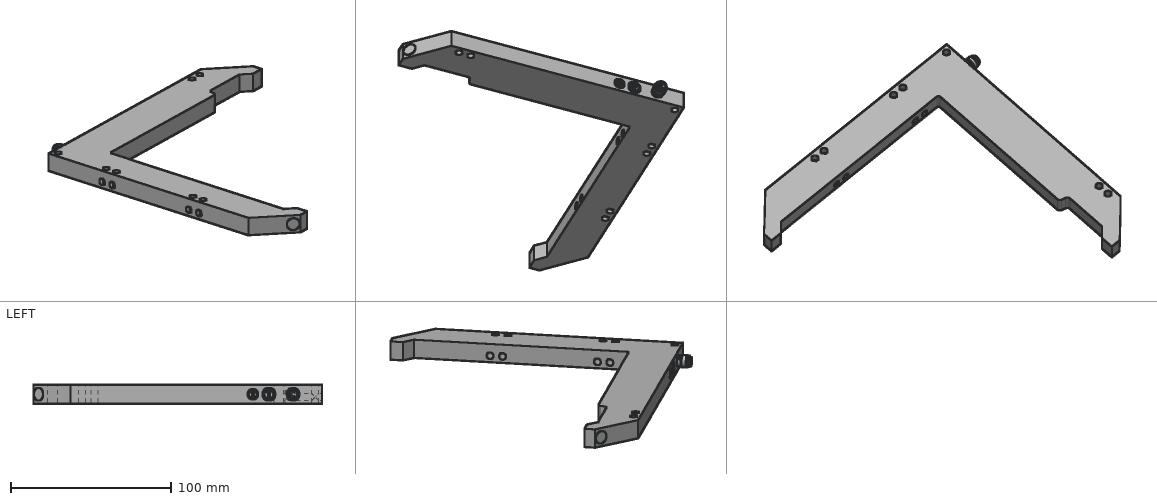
import cadquery as cq
import math

LEG_LENGTH = 180.0
THICKNESS = 12.0
MID_HEIGHT = THICKNESS / 2
LEG_WIDTH = 30.0
RELIEF = 6.0
NARROW_WIDTH = LEG_WIDTH - RELIEF
TIP_FACE = 6.8
BEVEL = LEG_WIDTH - TIP_FACE
X_TIP_LENGTH = 8.0
Y_TIP_LENGTH = 8.9
RELIEF_START = 134.2
RELIEF_SLOPE = 1.5
STEP_RADIUS = 2.3
INNER_CORNER_RADIUS = 1.5

HOLE_DIAMETER = 4.3
HOLE_EDGE = 4.3
PAIR_PITCH = 8.0
X_PAIR_STARTS = (42.0, 110.0)
Y_PAIR_START = 142.0

LENS_DIAMETER = 8.1
LENS_HEIGHT = 0.2
LENS_FROM_END = 3.2
LENS_EMBED = 1.0

CONNECTOR_Y = 18.1
CONNECTOR_LENGTH = 8.5
NECK_DIAMETER = 7.2
NECK_END = 2.3
COLLAR_DIAMETER = 8.0
COLLAR_END = 6.5
COLLAR_TAPER = 0.8
SHOULDER_END = 7.4
NOSE_DIAMETER = 5.8
SOCKET_DIAMETER = 5.0
SOCKET_DEPTH = 6.6
PIN_DIAMETER = 1.0
PIN_LENGTH = 4.9
PIN_CIRCLE_RADIUS = 1.5
PIN_ANGLES = (0, 90, 270)
NECK_HOLE_DIAMETER = 1.5
NECK_HOLE_DEPTH = 0.5
NECK_HOLE_COUNT = 3
NECK_HOLE_START = 48
NECK_HOLE_OFFSET = 1.1

SMALL_DIAL_Y = 43.2
SMALL_DIAL_DIAMETERS = (6.6, 5.8, 5.0)
LARGE_DIAL_Y = 33.2
LARGE_DIAL_DIAMETERS = (8.1, 6.8, 5.7)
DIAL_STEP_DEPTH = 0.5
DIAL_BORE_DEPTH = 1.5
ARROW_DEPTH = 0.8
ARROW_SHAFT_HALF = 0.66
ARROW_HEAD_HALF = 1.1
ARROW_TAIL = -2.0
ARROW_NECK = 1.0
ARROW_POINT = 2.0


def make_body():
    relief_end = LEG_LENGTH - Y_TIP_LENGTH - RELIEF
    tip_start = LEG_LENGTH - X_TIP_LENGTH
    points = [
        (0, 0),
        (LEG_LENGTH - BEVEL, 0),
        (LEG_LENGTH, BEVEL),
        (LEG_LENGTH, LEG_WIDTH),
        (tip_start, LEG_WIDTH),
        (tip_start - RELIEF, NARROW_WIDTH),
        (LEG_WIDTH, NARROW_WIDTH),
        (LEG_WIDTH, RELIEF_START - RELIEF_SLOPE),
        (NARROW_WIDTH, RELIEF_START),
        (NARROW_WIDTH, relief_end),
        (LEG_WIDTH, relief_end + RELIEF),
        (LEG_WIDTH, LEG_LENGTH),
        (BEVEL, LEG_LENGTH),
        (0, LEG_LENGTH - BEVEL),
    ]
    body = cq.Workplane("XY").polyline(points).close().extrude(THICKNESS)
    step_corners = [points[7], points[8]]
    body = round_corners(body, step_corners, STEP_RADIUS)
    return round_corners(body, [points[6]], INNER_CORNER_RADIUS)


def round_corners(body, corners, radius):
    for x, y in corners:
        body = body.edges(cq.selectors.NearestToPointSelector((x, y, MID_HEIGHT))).fillet(radius)
    return body


def make_mounting_holes():
    x_leg = [start + step for start in X_PAIR_STARTS for step in (0, PAIR_PITCH)]
    down = [(HOLE_EDGE, HOLE_EDGE)]
    down += [(x, HOLE_EDGE) for x in x_leg]
    down += [(HOLE_EDGE, Y_PAIR_START + step) for step in (0, PAIR_PITCH)]
    radius = HOLE_DIAMETER / 2
    vertical = cq.Workplane("XY").pushPoints(down).circle(radius).extrude(THICKNESS)
    across = (
        cq.Workplane("XZ")
        .pushPoints([(x, HOLE_EDGE) for x in x_leg])
        .circle(radius)
        .extrude(-NARROW_WIDTH)
    )
    return vertical.union(across)


def make_lens(x, y, normal):
    plane = cq.Plane(origin=(x, y, MID_HEIGHT), xDir=(0, 0, 1), normal=normal)
    disc = cq.Workplane(plane).workplane(offset=-LENS_EMBED).circle(LENS_DIAMETER / 2)
    return disc.extrude(LENS_EMBED + LENS_HEIGHT)


def make_lenses():
    along = LEG_LENGTH - LENS_FROM_END
    side = BEVEL - LENS_FROM_END
    return make_lens(along, side, (1, -1, 0)).union(make_lens(side, along, (-1, 1, 0)))


def side_plane(y, distance=0):
    """Plane parallel to the -X face: local x is +Z, local y is +Y, normal points out."""
    return cq.Workplane(cq.Plane(origin=(-distance, y, MID_HEIGHT), xDir=(0, 0, 1), normal=(-1, 0, 0)))


def side_cylinder(y, diameter, start, end):
    return side_plane(y, start).circle(diameter / 2).extrude(end - start)


def make_connector():
    neck = NECK_DIAMETER / 2
    collar = COLLAR_DIAMETER / 2
    nose = NOSE_DIAMETER / 2
    half_section = [
        (0, 0),
        (0, neck),
        (NECK_END, neck),
        (NECK_END + COLLAR_TAPER, collar),
        (COLLAR_END - COLLAR_TAPER, collar),
        (COLLAR_END, neck),
        (SHOULDER_END, neck),
        (SHOULDER_END, nose),
        (CONNECTOR_LENGTH, nose),
        (CONNECTOR_LENGTH, 0),
    ]
    axis_plane = cq.Plane(origin=(0, CONNECTOR_Y, MID_HEIGHT), xDir=(-1, 0, 0), normal=(0, 0, 1))
    connector = cq.Workplane(axis_plane).polyline(half_section).close().revolve(360, (0, 0), (1, 0))
    socket_floor = CONNECTOR_LENGTH - SOCKET_DEPTH
    connector = connector.cut(side_cylinder(CONNECTOR_Y, SOCKET_DIAMETER, socket_floor, CONNECTOR_LENGTH))
    for angle in map(math.radians, PIN_ANGLES):
        pin = side_cylinder(CONNECTOR_Y, PIN_DIAMETER, socket_floor, socket_floor + PIN_LENGTH)
        shift = (0, PIN_CIRCLE_RADIUS * math.cos(angle), PIN_CIRCLE_RADIUS * math.sin(angle))
        connector = connector.union(pin.translate(shift))
    for index in range(NECK_HOLE_COUNT):
        connector = connector.cut(make_neck_hole(NECK_HOLE_START + index * 360 / NECK_HOLE_COUNT))
    return connector


def make_neck_hole(degrees):
    angle = math.radians(degrees)
    outward = cq.Vector(0, math.cos(angle), math.sin(angle))
    axis_point = cq.Vector(-NECK_HOLE_OFFSET, CONNECTOR_Y, MID_HEIGHT)
    floor = axis_point + outward * (NECK_DIAMETER / 2 - NECK_HOLE_DEPTH)
    plane = cq.Plane(origin=floor, xDir=(1, 0, 0), normal=outward)
    return cq.Workplane(plane).circle(NECK_HOLE_DIAMETER / 2).extrude(2 * NECK_HOLE_DEPTH)


def make_dial_recess(y, diameters):
    """Stepped bore around a flush knob, plus an arrow-shaped slot in the knob pointing up."""
    step_diameter, bore_diameter, knob_diameter = diameters
    groove = (
        side_cylinder(y, step_diameter, -DIAL_STEP_DEPTH, 0)
        .union(side_cylinder(y, bore_diameter, -DIAL_BORE_DEPTH, 0))
        .cut(side_cylinder(y, knob_diameter, -DIAL_BORE_DEPTH, 0))
    )
    arrow = [
        (ARROW_TAIL, -ARROW_SHAFT_HALF),
        (ARROW_NECK, -ARROW_SHAFT_HALF),
        (ARROW_NECK, -ARROW_HEAD_HALF),
        (ARROW_POINT, 0),
        (ARROW_NECK, ARROW_HEAD_HALF),
        (ARROW_NECK, ARROW_SHAFT_HALF),
        (ARROW_TAIL, ARROW_SHAFT_HALF),
    ]
    return groove.union(side_plane(y).polyline(arrow).close().extrude(-ARROW_DEPTH))


result = (
    make_body()
    .cut(make_mounting_holes())
    .union(make_lenses())
    .union(make_connector())
    .cut(make_dial_recess(SMALL_DIAL_Y, SMALL_DIAL_DIAMETERS))
    .cut(make_dial_recess(LARGE_DIAL_Y, LARGE_DIAL_DIAMETERS))
)